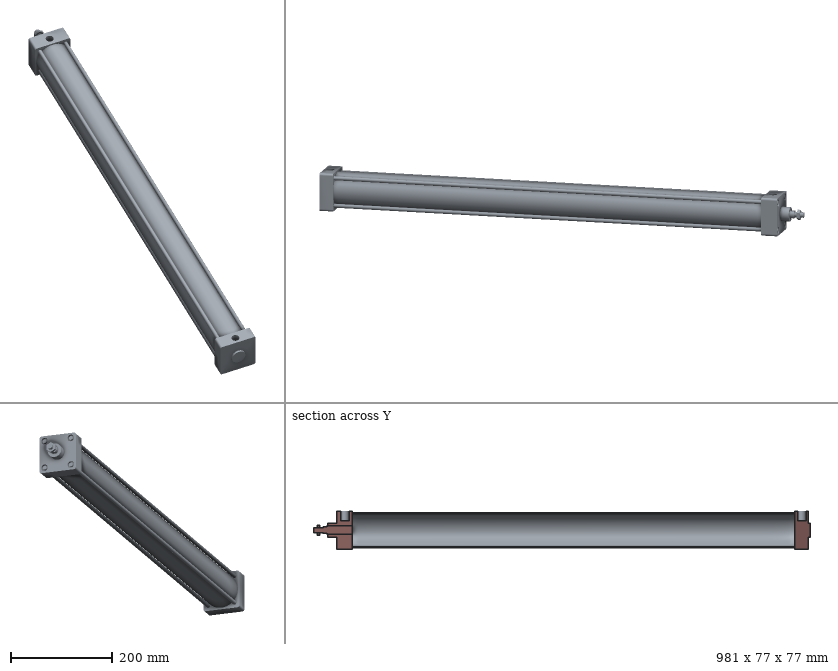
import cadquery as cq
import math


TOTAL_LENGTH = 981.0
ROD_SHOULDER_X = 19.0
BUSHING_X = 27.0
HEAD_X = 45.0
HEAD_LENGTH = 32.0
CAP_X = 950.0
CAP_LENGTH = 27.0
TUBE_X = HEAD_X + HEAD_LENGTH
CAP_END_X = CAP_X + CAP_LENGTH

BLOCK_SIZE = 77.0
BLOCK_EDGE_RADIUS = 4.4
TUBE_OUTER_DIAMETER = 70.0
TUBE_BORE_DIAMETER = 64.0
BOSS_DIAMETER = 28.0

HEAD_PORT_X = 63.0
CAP_PORT_X = 964.0
PORT_DIAMETER = 16.0
PORT_DEPTH = 20.0

TIE_ROD_DIAMETER = 7.9
TIE_ROD_CIRCLE_RADIUS = 39.0
TIE_ROD_OFFSET = TIE_ROD_CIRCLE_RADIUS * math.cos(math.pi / 4)
COUNTERBORE_DIAMETER = 14.0
COUNTERBORE_DEPTH = 5.0

ROD_DIAMETER = 16.0
ROD_FLATS_WIDTH = 14.0
ROD_FLATS_LENGTH = 7.0
ROD_END_X = TUBE_X
THREAD_DIAMETER = 11.0
NUT_X = 7.0
NUT_THICKNESS = 6.0
NUT_ACROSS_FLATS = 18.0
NUT_ACROSS_CORNERS = NUT_ACROSS_FLATS / math.cos(math.pi / 6)
NUT_CORNER_ANGLE = 90

TIE_ROD_CENTRES = [
    (y, z)
    for y in (-TIE_ROD_OFFSET, TIE_ROD_OFFSET)
    for z in (-TIE_ROD_OFFSET, TIE_ROD_OFFSET)
]


def cylinder_x(diameter, start, end, y=0, z=0):
    """Round bar parallel to X between two stations."""
    return cq.Workplane("YZ", origin=(start, y, z)).circle(diameter / 2).extrude(end - start)


def make_port(x):
    """Round blind port going down from the top face at station x."""
    return cq.Workplane("XY", origin=(x, 0, BLOCK_SIZE / 2)).circle(PORT_DIAMETER / 2).extrude(-PORT_DEPTH)


def make_block(start, length, port_x):
    """Square end block with rounded long edges, a port and tie rod holes."""
    end = start + length
    block = cq.Workplane("YZ", origin=(start, 0, 0)).rect(BLOCK_SIZE, BLOCK_SIZE).extrude(length)
    block = block.edges("|X").fillet(BLOCK_EDGE_RADIUS)
    block = block.cut(make_port(port_x))
    for y, z in TIE_ROD_CENTRES:
        block = block.cut(cylinder_x(TIE_ROD_DIAMETER, start, end, y, z))
    return block


def make_head():
    """Front block with the rod bushing and a counterbore around each tie rod end."""
    block = make_block(HEAD_X, HEAD_LENGTH, HEAD_PORT_X)
    block = block.union(cylinder_x(BOSS_DIAMETER, BUSHING_X, HEAD_X))
    for y, z in TIE_ROD_CENTRES:
        block = block.cut(cylinder_x(COUNTERBORE_DIAMETER, HEAD_X, HEAD_X + COUNTERBORE_DEPTH, y, z))
    return block.cut(cylinder_x(ROD_DIAMETER, BUSHING_X, ROD_END_X))


def make_cap():
    """Rear block with a short round boss on its end face."""
    block = make_block(CAP_X, CAP_LENGTH, CAP_PORT_X)
    return block.union(cylinder_x(BOSS_DIAMETER, CAP_END_X, TOTAL_LENGTH))


def make_tube():
    """Cylinder tube held between the two blocks."""
    outer = cylinder_x(TUBE_OUTER_DIAMETER, TUBE_X, CAP_X)
    return outer.cut(cylinder_x(TUBE_BORE_DIAMETER, TUBE_X, CAP_X))


def make_tie_rod(y, z):
    """Plain round rod running from the head's front face to the cap's rear face."""
    return cylinder_x(TIE_ROD_DIAMETER, HEAD_X, CAP_END_X, y, z)


def make_piston_rod():
    """Rod with two wrench flats, above and below the axis, and a plain thread cylinder."""
    flats_end = ROD_SHOULDER_X + ROD_FLATS_LENGTH
    flatted = cylinder_x(ROD_DIAMETER, ROD_SHOULDER_X, flats_end).intersect(
        cq.Workplane("YZ", origin=(ROD_SHOULDER_X, 0, 0))
        .rect(ROD_DIAMETER, ROD_FLATS_WIDTH)
        .extrude(ROD_FLATS_LENGTH)
    )
    shank = cylinder_x(ROD_DIAMETER, flats_end, ROD_END_X)
    threaded_end = cylinder_x(THREAD_DIAMETER, 0, ROD_SHOULDER_X)
    return shank.union(flatted).union(threaded_end)


def make_nut():
    """Jam nut with two corners on the vertical axis."""
    nut = (
        cq.Workplane("YZ", origin=(NUT_X, 0, 0))
        .transformed(rotate=(0, 0, NUT_CORNER_ANGLE))
        .polygon(6, NUT_ACROSS_CORNERS)
        .extrude(NUT_THICKNESS)
    )
    return nut.cut(cylinder_x(THREAD_DIAMETER, NUT_X, NUT_X + NUT_THICKNESS))


head = make_head()
cap = make_cap()
tube = make_tube()
piston_rod = make_piston_rod()
nut = make_nut()
tie_rods = [make_tie_rod(y, z) for y, z in TIE_ROD_CENTRES]

result = cq.Compound.makeCompound(
    [head.val(), cap.val(), tube.val(), piston_rod.val(), nut.val(), *[rod.val() for rod in tie_rods]]
)